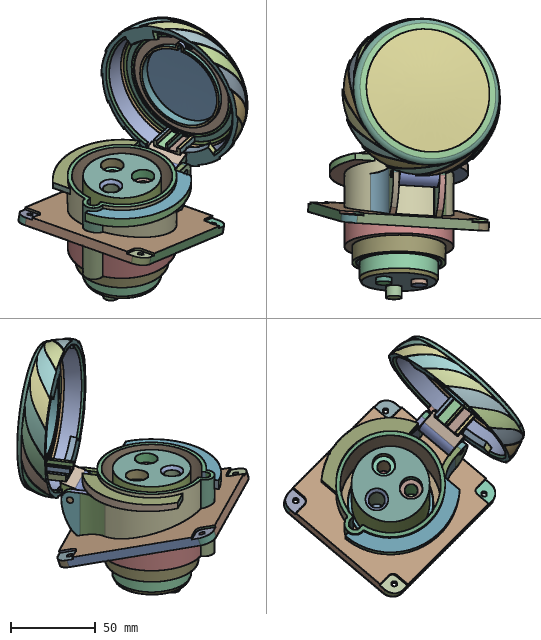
import cadquery as cq
import math


BARREL_R = 32.3
WELL_R = 29.7
BARREL_TOP = 51.4
WELL_FLOOR = 4.6
KEY_OFFSET = 32.0
KEY_OUTER_R = 6.3
KEY_INNER_R = 3.7
COLLAR_R = 27.7
COLLAR_DEPTH = 10.0
BORE_R = 25.4

FLANGE_WIDTH = 89.9
FLANGE_LENGTH = 100.1
FLANGE_THICKNESS = 6.1
FLANGE_CORNER_R = 8.0
FLANGE_TILT = 17.8
FLANGE_Y = 0.3
FLANGE_TOP = 21.7
SCREW_R = 1.7
SCREW_X = 38.5
SCREW_BACK_Y = 39.9
SCREW_FRONT_Y = -41.0
PAD_SIZE = 11.9
PAD_DEPTH = 1.4
PAD_CORNER_R = 3.4

RAMP_R = 41.0
RAMP_TOP = 48.9
RAMP_THIN = 4.0
RAMP_THICK = 6.0
RAMP_END_Y = 24.6
HINGE_RAMP_X = 12.2

PIN_Y = 45.7
PIN_Z = 32.0
PIN_R = 2.0
EAR_IN = 12.2
EAR_THICKNESS = 3.7
EAR_OUT = EAR_IN + EAR_THICKNESS
EAR_R = 5.5
EAR_STRAIGHT_Y = 39.7
EAR_BELLY = (49.4, 21.4)
EAR_HEEL = (45.0, 12.0)
EAR_FOOT_Y = 39.0
KNUCKLE_R = 6.3
ARM_HALF_WIDTH = 12.0
ARM_SLOPE = 17.0
ARM_GAP = 0.3

INSERT_R = 23.1
INSERT_FLANGE_R = 25.0
INSERT_TAIL_R = 23.4
INSERT_BOTTOM = -21.5
INSERT_CHAMFER_R = 1.2
INSERT_CHAMFER_H = 2.5
CONTACT_CIRCLE_R = 12.4
SOCKET_R = 6.7
SOCKET_DEPTH = 6.1
CONTACT_BORE_R = 3.8
EARTH_BORE_R = 4.7
BORE_DEPTH = 30.5
TERMINAL_R = 4.7
TERMINAL_BOTTOM = -24.5
EARTH_TERMINAL_BOTTOM = -28.0

LID_R = 47.5
LID_FACE_Y = 52.9
LID_TOP = 124.9
SIDE_DEPTH = 15.1
SIDE_TAPER = 3.0
RIB_COUNT = 16
RIB_START = 3.2
RIB_STEP = 0.8
RIB_FADE = 0.8
RIB_SECTIONS = 12
TWIST_LINEAR = 26.5
TWIST_END = 13.0
DOME_EDGE_R = 41.3
DOME_EDGE_DEPTH = 18.3
LID_DEPTH = 21.1
LID_Z = LID_TOP - LID_R
SHOULDER_BULGE = (43.4, 17.5)
RIM_BORE_R = 44.2
RIM_BEVEL_DEPTH = 1.4
CAVITY_R = 42.8
CAVITY_CORNER = ((41.1, 11.6), (40.2, 13.1))
FACE_DEPTH = 13.8
SEAT_R = 38.4
SEAT_DEPTH = 16.2
WINDOW_R = 37.5
LUG_R = 36.7
LUG_FLARE = 1.4
LUG_DEPTH = 3.7
LUG_START = 105.5
LUG_SPAN = 29.5
TAB_HEIGHT = 1.5
TAB_START = 68.5
TAB_SPAN = 5.0
TAB_SLOPE_SPAN = 2.0

RECESS_R = 26.0
RECESS_FLOOR_DEPTH = 18.0
RIM_WALL = 1.5
RIM_RISE = 2.6
DISC_KEY_CENTRE = 28.5
DISC_KEY_R = 1.2
RIDGE_R = 33.0
RIDGE_RISE = 0.8
RIDGE_BUMP_CENTRE = 28.9
RIDGE_BUMP_R = 7.6
BRACKET_WIDTH = 18.3
BRACKET_TOP = 44.3
BRACKET_BOTTOM = 39.7
BRACKET_FRONT_Y = 50.0
BRACKET_FLOOR_R = 36.4
BRACKET_OUTER_RIB = 2.1
BRACKET_MIDDLE_RIB = 1.5

OVERLAP = 0.2


def cylinder(radius, bottom, top, x=0, y=0):
    return cq.Workplane("XY", origin=(x, y, bottom)).circle(radius).extrude(top - bottom)


def box(x_min, x_max, y_min, y_max, z_min, z_max):
    size = (x_max - x_min, y_max - y_min, z_max - z_min)
    return cq.Workplane("XY").box(*size, centered=False).translate((x_min, y_min, z_min))


def cylinder_x(radius, half_length):
    """Cylinder on the hinge axis."""
    plane = cq.Workplane("YZ", origin=(-half_length, PIN_Y, PIN_Z))
    return plane.circle(radius).extrude(2 * half_length)


def keyed_cylinder(radius, key_radius, key_centre, bottom, top):
    """Cylinder with one round-ended key whose centre lies at (0, key_centre)."""
    y_min = min(0, key_centre)
    y_max = max(0, key_centre)
    key = cylinder(key_radius, bottom, top, y=key_centre)
    neck = box(-key_radius, key_radius, y_min, y_max, bottom, top)
    return cylinder(radius, bottom, top).union(key).union(neck)


def polar(radius, degrees):
    angle = math.radians(degrees)
    return radius * math.cos(angle), radius * math.sin(angle)


def sector(inner_r, outer_r, start, span, bottom, top):
    """Piece of a flat ring between two angles in degrees."""
    outline = (
        cq.Workplane("XY", origin=(0, 0, bottom))
        .moveTo(*polar(inner_r, start))
        .lineTo(*polar(outer_r, start))
        .threePointArc(polar(outer_r, start + span / 2), polar(outer_r, start + span))
        .lineTo(*polar(inner_r, start + span))
        .threePointArc(polar(inner_r, start + span / 2), polar(inner_r, start))
        .close()
    )
    return outline.extrude(top - bottom)


def stand_up(lid_part):
    """Move a lid part from its lying position to the open position."""
    return lid_part.rotate((0, 0, 0), (1, 0, 0), 90).translate((0, LID_FACE_Y, LID_Z))


def make_flange():
    half_width = FLANGE_WIDTH / 2
    half_length = FLANGE_LENGTH / 2
    plate = cq.Workplane("XY").rect(FLANGE_WIDTH, FLANGE_LENGTH).extrude(-FLANGE_THICKNESS)
    plate = plate.edges("|Z").fillet(FLANGE_CORNER_R)
    for side_x in (-1, 1):
        for side_y in (-1, 1):
            centre = (side_x * half_width, side_y * half_length)
            pad = cq.Workplane("XY").center(*centre).rect(2 * PAD_SIZE, 2 * PAD_SIZE)
            plate = plate.cut(pad.extrude(-PAD_DEPTH).edges("|Z").fillet(PAD_CORNER_R))
    tilted = plate.rotate((0, 0, 0), (1, 0, 0), -FLANGE_TILT)
    flange = tilted.translate((0, FLANGE_Y, FLANGE_TOP))

    for x in (-SCREW_X, SCREW_X):
        for y in (SCREW_FRONT_Y, SCREW_BACK_Y):
            flange = flange.cut(cylinder(SCREW_R, 0, BARREL_TOP, x, y))
    return flange


def make_ramp(start_x):
    """Bayonet ramp on the +X side, thinning towards its straight end at +Y."""
    outline = (
        cq.Workplane("YZ")
        .moveTo(-RAMP_R, RAMP_TOP)
        .lineTo(RAMP_END_Y, RAMP_TOP)
        .lineTo(RAMP_END_Y, RAMP_TOP - RAMP_THIN)
        .lineTo(-RAMP_R, RAMP_TOP - RAMP_THICK)
        .close()
    )
    wedge = outline.extrude(RAMP_R).translate((start_x, 0, 0))
    return wedge.intersect(cylinder(RAMP_R, 0, BARREL_TOP))


def make_ear():
    """Hinge ear on the +X side, flaring into the barrel with a tangent arc."""
    flare_r = (EAR_OUT**2 + EAR_STRAIGHT_Y**2 - BARREL_R**2) / (2 * (BARREL_R - EAR_OUT))
    centre_x = EAR_OUT + flare_r
    to_barrel = 180 + math.degrees(math.atan2(EAR_STRAIGHT_Y, centre_x))
    middle = (180 + to_barrel) / 2
    inner_r = flare_r + EAR_THICKNESS

    def on_flare(radius, degrees):
        x, y = polar(radius, degrees)
        return centre_x + x, EAR_STRAIGHT_Y + y

    tip_y = PIN_Y + EAR_R
    plan = (
        cq.Workplane("XY")
        .moveTo(EAR_IN, tip_y)
        .lineTo(EAR_OUT, tip_y)
        .lineTo(EAR_OUT, EAR_STRAIGHT_Y)
        .threePointArc(on_flare(flare_r, middle), on_flare(flare_r, to_barrel))
        .lineTo(*on_flare(inner_r, to_barrel))
        .threePointArc(on_flare(inner_r, middle), (EAR_IN, EAR_STRAIGHT_Y))
        .close()
        .extrude(BARREL_TOP)
    )

    def under_flange_top(y):
        drop = (y - FLANGE_Y) * math.tan(math.radians(FLANGE_TILT))
        return y, FLANGE_TOP - drop - FLANGE_THICKNESS / 2

    corner_y, corner_z = polar(EAR_R, 45)
    side = (
        cq.Workplane("YZ")
        .moveTo(0, PIN_Z + EAR_R)
        .lineTo(PIN_Y, PIN_Z + EAR_R)
        .threePointArc((PIN_Y + corner_y, PIN_Z + corner_z), (tip_y, PIN_Z))
        .threePointArc(EAR_BELLY, EAR_HEEL)
        .lineTo(*under_flange_top(EAR_FOOT_Y))
        .lineTo(*under_flange_top(0))
        .close()
        .extrude(BARREL_R)
    )
    return plan.intersect(side)


def make_housing():
    ear = make_ear()
    body = (
        keyed_cylinder(BARREL_R, KEY_OUTER_R, -KEY_OFFSET, 0, BARREL_TOP)
        .union(cylinder(COLLAR_R, -COLLAR_DEPTH, 0))
        .union(make_flange())
        .union(make_ramp(0))
        .union(make_ramp(HINGE_RAMP_X).rotate((0, 0, 0), (0, 0, 1), 180))
        .union(ear)
        .union(ear.mirror("YZ"))
    )
    well = keyed_cylinder(WELL_R, KEY_INNER_R, -KEY_OFFSET, WELL_FLOOR, BARREL_TOP)
    bore = cylinder(BORE_R, -COLLAR_DEPTH, WELL_FLOOR)
    return body.cut(well).cut(bore).cut(cylinder_x(PIN_R, EAR_OUT))


def make_insert():
    tail_end_r = INSERT_TAIL_R - INSERT_CHAMFER_R
    profile = [
        (0, BARREL_TOP),
        (INSERT_R, BARREL_TOP),
        (INSERT_R, WELL_FLOOR),
        (INSERT_FLANGE_R, WELL_FLOOR),
        (INSERT_FLANGE_R, -COLLAR_DEPTH),
        (INSERT_TAIL_R, -COLLAR_DEPTH),
        (INSERT_TAIL_R, INSERT_BOTTOM + INSERT_CHAMFER_H),
        (tail_end_r, INSERT_BOTTOM),
        (0, INSERT_BOTTOM),
    ]
    insert = cq.Workplane("XZ").polyline(profile).close().revolve()

    for degrees in (30, 150):
        x, y = polar(CONTACT_CIRCLE_R, degrees)
        insert = insert.union(cylinder(TERMINAL_R, TERMINAL_BOTTOM, INSERT_BOTTOM, x, y))
        insert = insert.cut(cylinder(SOCKET_R, BARREL_TOP - SOCKET_DEPTH, BARREL_TOP, x, y))
        insert = insert.cut(cylinder(CONTACT_BORE_R, BARREL_TOP - BORE_DEPTH, BARREL_TOP, x, y))

    earth_y = -CONTACT_CIRCLE_R
    sink = SOCKET_R - EARTH_BORE_R
    mouth_bottom = cq.Vector(0, earth_y, BARREL_TOP - sink)
    mouth = cq.Solid.makeCone(EARTH_BORE_R, SOCKET_R, sink, mouth_bottom)
    insert = insert.union(cylinder(TERMINAL_R, EARTH_TERMINAL_BOTTOM, INSERT_BOTTOM, y=earth_y))
    insert = insert.cut(cq.Workplane(mouth))
    return insert.cut(cylinder(EARTH_BORE_R, BARREL_TOP - BORE_DEPTH, BARREL_TOP, y=earth_y))


def rib_section(position):
    """Saw-tooth outline of the ribbed side; position runs from 0 (rim) to 1 (back)."""
    high_r = LID_R - SIDE_TAPER * position**2
    low_r = high_r - RIB_STEP * (1 - RIB_FADE * position)
    pitch = 360 / RIB_COUNT
    twist = TWIST_LINEAR * position + TWIST_END * position**7
    z = -SIDE_DEPTH * position
    edges = []
    for rib in range(RIB_COUNT):
        start = RIB_START + rib * pitch - twist
        foot = cq.Vector(*polar(low_r, start), z)
        middle = cq.Vector(*polar((low_r + high_r) / 2, start + pitch / 2), z)
        crest = cq.Vector(*polar(high_r, start + pitch), z)
        next_foot = cq.Vector(*polar(low_r, start + pitch), z)
        edges.append(cq.Edge.makeThreePointArc(foot, middle, crest))
        edges.append(cq.Edge.makeLine(crest, next_foot))
    return cq.Wire.assembleEdges(edges)


def dome_radius():
    sagitta = LID_DEPTH - DOME_EDGE_DEPTH
    return (DOME_EDGE_R**2 + sagitta**2) / (2 * sagitta)


def dome_point(radius):
    """(radius, z) of a point on the domed back of the lid."""
    dome_r = dome_radius()
    return radius, dome_r - LID_DEPTH - math.sqrt(dome_r**2 - radius**2)


def make_ring_back():
    """Back of the ring, with its rounded shoulder and its share of the dome."""
    return (
        cq.Workplane("XZ")
        .moveTo(SEAT_R, -SIDE_DEPTH)
        .lineTo(LID_R - SIDE_TAPER, -SIDE_DEPTH)
        .threePointArc((SHOULDER_BULGE[0], -SHOULDER_BULGE[1]), (DOME_EDGE_R, -DOME_EDGE_DEPTH))
        .threePointArc(dome_point((DOME_EDGE_R + WINDOW_R) / 2), dome_point(WINDOW_R))
        .lineTo(WINDOW_R, -SEAT_DEPTH)
        .lineTo(SEAT_R, -SEAT_DEPTH)
        .close()
        .revolve()
    )


def make_lid_lug(start):
    """Bayonet lug in the mouth of the ring; its inner face narrows away from the rim."""
    lug = sector(LUG_R, RIM_BORE_R + OVERLAP, start, LUG_SPAN, -LUG_DEPTH, 0)
    flare = (
        cq.Workplane("XZ")
        .moveTo(0, 0)
        .lineTo(LUG_R + LUG_FLARE, 0)
        .lineTo(LUG_R, -LUG_DEPTH)
        .lineTo(0, -LUG_DEPTH)
        .close()
        .revolve()
    )
    return lug.cut(flare)


def make_lid_tab(start):
    """Small stop standing on the rim, with one sloping end."""
    tab = sector(CAVITY_R, RIM_BORE_R + OVERLAP, start, TAB_SPAN, -RIM_BEVEL_DEPTH, TAB_HEIGHT)
    near_x, near_y = polar(RIM_BORE_R, start)
    far = RIM_BORE_R * math.radians(TAB_SLOPE_SPAN)
    slope_top = TAB_HEIGHT + OVERLAP
    slope = (
        cq.Workplane("XZ")
        .polyline([(-far, slope_top), (far, slope_top), (-far / 2, 0), (-far, 0)])
        .close()
        .extrude(TAB_HEIGHT * 2, both=True)
        .rotate((0, 0, 0), (0, 0, 1), start + 90)
        .translate((near_x, near_y, 0))
    )
    return tab.cut(slope)


def make_lid_ring():
    sections = [rib_section(i / (RIB_SECTIONS - 1)) for i in range(RIB_SECTIONS)]
    side = cq.Workplane(cq.Solid.makeLoft(sections))
    cavity_profile = [
        (0, 0),
        (RIM_BORE_R, 0),
        (CAVITY_R, -RIM_BEVEL_DEPTH),
        *[(radius, -depth) for radius, depth in CAVITY_CORNER],
        (SEAT_R, -FACE_DEPTH),
        (SEAT_R, -SIDE_DEPTH),
        (0, -SIDE_DEPTH),
    ]
    cavity = cq.Workplane("XZ").polyline(cavity_profile).close().revolve()
    ring = side.cut(cavity).union(make_ring_back())
    for half_turn in (0, 180):
        ring = ring.union(make_lid_lug(LUG_START + half_turn))
        ring = ring.union(make_lid_tab(TAB_START + half_turn))
    return stand_up(ring)


def make_ridge():
    """Low ridge around the sealing face, bulging outwards around the key."""
    def outline(growth):
        base = cylinder(RIDGE_R + growth, -FACE_DEPTH, RIDGE_RISE - FACE_DEPTH)
        bump_r = RIDGE_BUMP_R + growth
        return base.union(
            cylinder(bump_r, -FACE_DEPTH, RIDGE_RISE - FACE_DEPTH, y=RIDGE_BUMP_CENTRE)
        )

    return outline(RIM_WALL).cut(outline(0))


def make_dome_disc():
    """Disc that fills the ring; its recess floor runs parallel to its domed back."""
    thickness = LID_DEPTH - RECESS_FLOOR_DEPTH

    def floor_point(radius):
        return radius, dome_point(radius)[1] + thickness

    return (
        cq.Workplane("XZ")
        .moveTo(*dome_point(0))
        .threePointArc(dome_point(WINDOW_R / 2), dome_point(WINDOW_R))
        .lineTo(WINDOW_R, -SEAT_DEPTH)
        .lineTo(SEAT_R, -SEAT_DEPTH)
        .lineTo(SEAT_R, -FACE_DEPTH)
        .lineTo(RECESS_R, -FACE_DEPTH)
        .lineTo(*floor_point(RECESS_R))
        .threePointArc(floor_point(RECESS_R / 2), floor_point(0))
        .close()
        .revolve()
    )


def make_plate():
    """Domed disc with a raised keyed rim around its recess."""
    plate = make_dome_disc()
    rim_top = RIM_RISE - FACE_DEPTH
    outer_key_r = DISC_KEY_R + RIM_WALL
    rim_r = RECESS_R + RIM_WALL
    rim = keyed_cylinder(rim_r, outer_key_r, DISC_KEY_CENTRE, -FACE_DEPTH, rim_top)
    rim = rim.cut(keyed_cylinder(RECESS_R, DISC_KEY_R, DISC_KEY_CENTRE, -FACE_DEPTH, rim_top))
    plate = plate.union(rim)
    return stand_up(plate.union(make_ridge()))


def make_bracket():
    """Three ribs along Y on a common base, tying the arm to the plate."""
    half_width = BRACKET_WIDTH / 2
    back_y = LID_FACE_Y + FACE_DEPTH
    block = box(-half_width, half_width, BRACKET_FRONT_Y, back_y, BRACKET_BOTTOM, BRACKET_TOP)

    def around_lid_axis(radius):
        face = cq.Workplane("XZ", origin=(0, back_y, LID_Z))
        return face.circle(radius).extrude(back_y - BRACKET_FRONT_Y)

    block = block.intersect(around_lid_axis(SEAT_R))
    channel_floor = around_lid_axis(BRACKET_FLOOR_R)
    inner = BRACKET_MIDDLE_RIB / 2
    outer = half_width - BRACKET_OUTER_RIB
    for x_min, x_max in ((-outer, -inner), (inner, outer)):
        channel = box(x_min, x_max, BRACKET_FRONT_Y, back_y, BRACKET_BOTTOM, BRACKET_TOP)
        block = block.cut(channel.intersect(channel_floor))
    return block


def make_arm():
    """Sloping arm that ends in the hinge knuckle."""
    slope = math.radians(ARM_SLOPE)
    tangent_y = PIN_Y - KNUCKLE_R * math.sin(slope)
    tangent_z = PIN_Z + KNUCKLE_R * math.cos(slope)
    back_y = LID_FACE_Y - ARM_GAP
    top_z = tangent_z + (back_y - tangent_y) * math.tan(slope)
    web = (
        cq.Workplane("YZ", origin=(-ARM_HALF_WIDTH, 0, 0))
        .polyline([
            (PIN_Y, PIN_Z),
            (tangent_y, tangent_z),
            (back_y, top_z),
            (PIN_Y + KNUCKLE_R, PIN_Z),
        ])
        .close()
        .extrude(2 * ARM_HALF_WIDTH)
    )
    return web.union(cylinder_x(KNUCKLE_R, ARM_HALF_WIDTH))


def make_lid_disc():
    disc = make_plate().union(make_bracket()).union(make_arm())
    return disc.cut(cylinder_x(PIN_R, ARM_HALF_WIDTH))


def make_hinge_pin():
    return cylinder_x(PIN_R, EAR_OUT)


housing = make_housing()
insert = make_insert()
lid_ring = make_lid_ring()
lid_disc = make_lid_disc()
hinge_pin = make_hinge_pin()

result = cq.Compound.makeCompound([
    housing.val(),
    insert.val(),
    lid_ring.val(),
    lid_disc.val(),
    hinge_pin.val(),
])